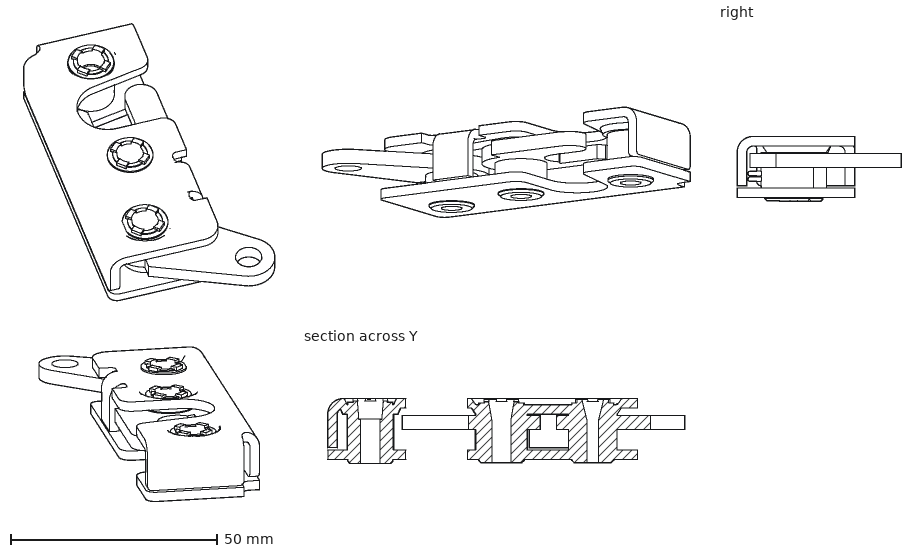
import cadquery as cq
import math

LENGTH = 75.2
DEPTH = 28.6
SHEET = 2.38
PLATE_GAP = 0.48
COVER_TOP = 14.86
COVER_BOTTOM = SHEET + PLATE_GAP
COVER_UNDERSIDE = COVER_TOP - SHEET
BEND_OUTER = 3.9
BEND_INNER = BEND_OUTER - SHEET
CORNER_NOTCH = 2 * SHEET
PLATE_CORNER = SHEET
FRONT_WALL_CORNER = 2.3
LEFT_WALL_CORNER = 1.1
COVER_CORNER = 4.8

MOUTH_X = 26.5
MOUTH_Y = 14.5
MOUTH_RADIUS = 7.42
MOUTH_SLOPE = math.radians(10.8)
MOUTH_LIP = 3.05

TAB_LEFT = 48.9
TAB_RIGHT = 59.05
TAB_RELIEF = 3.2
RELIEF_CORNER = 1.2

LEFT_RIVET = (10.37, 15.35)
ROTOR_RIVET = (42.14, 15.35)
LEVER_RIVET = (64.3, 12.22)
LEFT_BODY_RADIUS = 11.37 / 2
PIVOT_BODY_RADIUS = 12.7 / 2
HEAD_RADIUS = 11.11 / 2
HEAD_THICKNESS = 0.4
LEFT_HEAD_THICKNESS = 0.6
COLLAR_RADIUS = 8.48 / 2
COLLAR_HEIGHT = 0.3
BORE_RADIUS = 4.98 / 2
FUNNEL_RADIUS = 6.63 / 2
FUNNEL_DEPTH = 5.0
LEFT_FUNNEL_END_RADIUS = 2.95
LEFT_FOOT_HEIGHT = 0.98
PIVOT_FOOT_HEIGHT = 0.8
FOOT_CHAMFER = 0.6
PETAL_WIDTH = 2.6
PETAL_END_RADIUS = 4.65
PETAL_HEIGHT = 0.88

DIMPLE_DEPTH = 1.5
DIMPLE_FLOOR = COVER_TOP - DIMPLE_DEPTH
DIMPLE_BOTTOM = COVER_UNDERSIDE - DIMPLE_DEPTH
LEFT_DIMPLE_RADIUS = 6.35
LEFT_BULGE_RADIUS = 7.4
LONG_DIMPLE_RADIUS = 7.3
LONG_DIMPLE_FRONT = 6.2
LONG_DIMPLE_SLOPE = 1.0
DIMPLE_ROUNDING = 0.5

BLADE_BOTTOM = 7.26
BLADE_THICKNESS = 3.5
JAW_X = 22.1
JAW_TOP = 28.47
JAW_BOTTOM = 20.45
SLOT_BOTTOM = 10.5
SLOT_END_X = 29.25
LOWER_JAW_LEFT = 21.8
LOWER_JAW_LEAD = 1.5
ROTOR_HUB_RADIUS = 9.5
LUG = (80.31, 33.53)
LUG_RADIUS = 12.7 / 2
LUG_HOLE_RADIUS = 6.35 / 2
LEVER_HUB_RADIUS = 9.1
LEVER_HEEL = (76.06, 9.45)
LEVER_LEAN = math.radians(50)

WIRE_RADIUS = 1.12 / 2
WIRE_LEVELS = (4.5, 5.85)
WIRE_END_Y = 2.65
WIRE_END_ROUNDING = 0.5
WIRE_OVERLAP = 1.0

MARGIN = 0.1


def block(x0, x1, y0, y1, z0, z1):
    return cq.Workplane("XY").box(x1 - x0, y1 - y0, z1 - z0, centered=False).translate((x0, y0, z0))


def disc(centre, radius, z0, height):
    return cq.Workplane("XY", origin=(*centre, z0)).circle(radius).extrude(height)


def tangent_point(point, centre, radius):
    """Point of the circle touched by the line from `point`, on the right of that line."""
    dx = point[0] - centre[0]
    dy = point[1] - centre[1]
    angle = math.atan2(dy, dx) + math.acos(radius / math.hypot(dx, dy))
    return centre[0] + radius * math.cos(angle), centre[1] + radius * math.sin(angle)


def corner_notch():
    notch = block(-MARGIN, CORNER_NOTCH, -MARGIN, CORNER_NOTCH, -MARGIN, COVER_TOP + MARGIN)
    return notch.edges("|Z").edges(">X and >Y").fillet(CORNER_NOTCH / 2)


def cut_mouth(body):
    """Cut the open mouth through the rear edge and round both of its lips."""
    left_tangent = (
        MOUTH_X - MOUTH_RADIUS * math.cos(MOUTH_SLOPE),
        MOUTH_Y - MOUTH_RADIUS * math.sin(MOUTH_SLOPE),
    )
    right_x = MOUTH_X + MOUTH_RADIUS
    left_lip_x = left_tangent[0] - (DEPTH - left_tangent[1]) * math.tan(MOUTH_SLOPE)
    mouth = (
        cq.Workplane("XY")
        .moveTo(left_lip_x, DEPTH)
        .lineTo(*left_tangent)
        .threePointArc((MOUTH_X, MOUTH_Y - MOUTH_RADIUS), (right_x, MOUTH_Y))
        .lineTo(right_x, DEPTH)
        .close()
        .extrude(COVER_TOP)
    )
    body = body.cut(mouth)
    for lip_x in (left_lip_x, right_x):
        lip = cq.selectors.BoxSelector(
            (lip_x - MARGIN, DEPTH - MARGIN, 0), (lip_x + MARGIN, DEPTH + MARGIN, COVER_TOP)
        )
        body = body.edges("|Z").edges(lip).fillet(MOUTH_LIP)
    return body


def base_plate():
    plate = block(0, LENGTH, 0, DEPTH, 0, SHEET)
    plate = plate.edges("|Z").edges(">X or >Y").fillet(PLATE_CORNER)
    return cut_mouth(plate.cut(corner_notch()))


def folded_sheet():
    """Top panel with the front and left walls bent down from it."""
    outer = block(0, LENGTH, 0, DEPTH, COVER_BOTTOM, COVER_TOP)
    outer = outer.edges(">Z").edges("<X or <Y").fillet(BEND_OUTER)
    inner = block(SHEET, 2 * LENGTH, SHEET, 2 * DEPTH, 0, COVER_UNDERSIDE)
    inner = inner.edges(">Z").edges("<X or <Y").fillet(BEND_INNER)
    sheet = outer.cut(inner).cut(corner_notch())

    low = COVER_BOTTOM - MARGIN
    high = COVER_BOTTOM + MARGIN
    front_wall = cq.selectors.BoxSelector((0, 0, low), (2 * LENGTH, SHEET, high))
    left_wall = cq.selectors.BoxSelector((0, 0, low), (SHEET, 2 * DEPTH, high))
    sheet = sheet.edges("|Y").edges(front_wall).fillet(FRONT_WALL_CORNER)
    sheet = sheet.edges("|X").edges(left_wall).fillet(LEFT_WALL_CORNER)
    return sheet.edges("|Z").edges(">X and >Y").fillet(COVER_CORNER)


def rear_tab():
    """Flange bent down at the rear edge."""
    outer = block(TAB_LEFT, TAB_RIGHT, DEPTH - 2 * BEND_OUTER, DEPTH, COVER_BOTTOM, COVER_TOP)
    outer = outer.edges("|X").edges(">Y and >Z").fillet(BEND_OUTER)
    inner = block(TAB_LEFT, TAB_RIGHT, 0, DEPTH - SHEET, 0, COVER_UNDERSIDE)
    inner = inner.edges("|X").edges(">Y and >Z").fillet(BEND_INNER)
    return outer.cut(inner)


def cut_tab_slots(body):
    """Round-cornered slots that free the tab from the panel on both sides."""
    for x in (TAB_LEFT - TAB_RELIEF, TAB_RIGHT):
        slot = block(x, x + TAB_RELIEF, DEPTH - BEND_OUTER, DEPTH + MARGIN, 0, COVER_TOP)
        body = body.cut(slot.edges("|Z").edges("<Y").fillet(RELIEF_CORNER))
    return body


def left_dimple(radius, z_top):
    """Conical dimple around the left rivet, measured down from z_top."""
    taper = math.degrees(math.atan2(LEFT_DIMPLE_RADIUS - LEFT_BODY_RADIUS, DIMPLE_DEPTH))
    top = cq.Workplane("XY", origin=(*LEFT_RIVET, z_top))
    return top.circle(radius).extrude(-DIMPLE_DEPTH, taper=taper)


def long_dimple(z_top):
    """Sloped dimple around the two pivot rivets, flat along its front side."""
    dx = LEVER_RIVET[0] - ROTOR_RIVET[0]
    dy = LEVER_RIVET[1] - ROTOR_RIVET[1]
    lean = math.atan2(dy, dx)
    r = LONG_DIMPLE_RADIUS

    def on_rim(centre, angle):
        return centre[0] + r * math.cos(angle), centre[1] + r * math.sin(angle)

    up = lean + math.pi / 2
    down = lean - math.pi / 2
    lower_left = on_rim(ROTOR_RIVET, down)
    flat_left = lower_left[0] + (LONG_DIMPLE_FRONT - lower_left[1]) / math.tan(lean)
    flat_angle = math.asin((LONG_DIMPLE_FRONT - LEVER_RIVET[1]) / r)
    taper = math.degrees(math.atan2(LONG_DIMPLE_SLOPE, DIMPLE_DEPTH))
    return (
        cq.Workplane("XY", origin=(0, 0, z_top))
        .moveTo(*lower_left)
        .lineTo(flat_left, LONG_DIMPLE_FRONT)
        .lineTo(*on_rim(LEVER_RIVET, flat_angle))
        .threePointArc(on_rim(LEVER_RIVET, lean), on_rim(LEVER_RIVET, up))
        .lineTo(*on_rim(ROTOR_RIVET, up))
        .threePointArc(on_rim(ROTOR_RIVET, lean + math.pi), lower_left)
        .close()
        .extrude(-DIMPLE_DEPTH, taper=taper)
    )


def cover():
    body = cut_mouth(folded_sheet())
    tab_bay = block(TAB_LEFT, TAB_RIGHT, DEPTH - BEND_OUTER, DEPTH, 0, COVER_TOP)
    body = cut_tab_slots(body.cut(tab_bay).union(rear_tab()))
    body = body.union(left_dimple(LEFT_BULGE_RADIUS, COVER_UNDERSIDE))
    body = body.union(long_dimple(COVER_UNDERSIDE))
    body = body.cut(left_dimple(LEFT_DIMPLE_RADIUS, COVER_TOP)).cut(long_dimple(COVER_TOP))
    return round_dimples(body)


def round_dimples(body):
    """Round the rims of both dimples and the floor edge of the long one."""
    x, y = LEFT_RIVET
    left_rim = cq.selectors.BoxSelector(
        (x - MARGIN, y - MARGIN, COVER_TOP - MARGIN), (x + MARGIN, y + MARGIN, COVER_TOP + MARGIN)
    )
    body = body.edges(left_rim).fillet(DIMPLE_ROUNDING)

    left = ROTOR_RIVET[0] - LONG_DIMPLE_RADIUS
    right = LEVER_RIVET[0] + LONG_DIMPLE_RADIUS
    rear = ROTOR_RIVET[1] + LONG_DIMPLE_RADIUS
    for z in (COVER_TOP, DIMPLE_FLOOR):
        long_edges = cq.selectors.BoxSelector(
            (left, LONG_DIMPLE_FRONT - MARGIN, z - MARGIN), (right, rear, z + MARGIN)
        )
        body = body.edges(long_edges).fillet(DIMPLE_ROUNDING)
    return body


def rivet(centre, body_radius, head_thickness, foot_height):
    """Rivet without its bore: foot, spacer body, head, collar and four diagonal petals."""
    head_top = DIMPLE_FLOOR + head_thickness
    foot = disc(centre, HEAD_RADIUS, -foot_height, foot_height)
    foot = foot.faces("<Z").chamfer(FOOT_CHAMFER)
    body = disc(centre, body_radius, 0, DIMPLE_BOTTOM)
    collar = disc(centre, COLLAR_RADIUS, 0, head_top + COLLAR_HEIGHT)
    head = disc(centre, HEAD_RADIUS, DIMPLE_FLOOR, head_thickness)
    petals = (
        cq.Workplane("XY", origin=(*centre, DIMPLE_FLOOR))
        .transformed(rotate=(0, 0, 45))
        .rect(2 * PETAL_END_RADIUS, PETAL_WIDTH)
        .extrude(head_thickness + PETAL_HEIGHT)
    )
    crossed_petals = petals.rotate((*centre, 0), (*centre, 1), 90)
    return foot.union(body).union(collar).union(head).union(petals).union(crossed_petals)


def rivet_bore(centre, funnel_end_radius, head_thickness, foot_height):
    """Through bore with a conical entry at its upper end."""
    top = DIMPLE_FLOOR + head_thickness + PETAL_HEIGHT
    bore = disc(centre, BORE_RADIUS, -foot_height, foot_height + top)
    funnel = (
        cq.Workplane("XY", origin=(*centre, top))
        .circle(FUNNEL_RADIUS)
        .workplane(offset=-FUNNEL_DEPTH)
        .circle(funnel_end_radius)
        .loft()
    )
    return bore.union(funnel)


def rotor():
    """Catch rotor: hub on the rotor rivet with two jaws around an open slot."""
    jaw_mid = (JAW_TOP + JAW_BOTTOM) / 2
    jaw_radius = (JAW_TOP - JAW_BOTTOM) / 2
    slot_mid = (JAW_BOTTOM + SLOT_BOTTOM) / 2
    slot_radius = (JAW_BOTTOM - SLOT_BOTTOM) / 2
    hub_front = ROTOR_RIVET[1] - ROTOR_HUB_RADIUS
    top = BLADE_BOTTOM + BLADE_THICKNESS
    hub = disc(ROTOR_RIVET, ROTOR_HUB_RADIUS, BLADE_BOTTOM, BLADE_THICKNESS)
    upper_jaw = block(JAW_X, ROTOR_RIVET[0], slot_mid, JAW_TOP, BLADE_BOTTOM, top)
    jaw_end = disc((JAW_X, jaw_mid), jaw_radius, BLADE_BOTTOM, BLADE_THICKNESS)
    lower_jaw = block(LOWER_JAW_LEFT, ROTOR_RIVET[0], hub_front, SLOT_BOTTOM, BLADE_BOTTOM, top)
    lower_jaw = lower_jaw.edges("|Z").edges("<X and >Y").chamfer(LOWER_JAW_LEAD)
    slot = block(LOWER_JAW_LEFT, SLOT_END_X, SLOT_BOTTOM, JAW_BOTTOM, BLADE_BOTTOM, top)
    slot_end = disc((SLOT_END_X, slot_mid), slot_radius, BLADE_BOTTOM, BLADE_THICKNESS)
    body = hub.union(upper_jaw).union(lower_jaw).cut(slot).cut(slot_end)
    return body.union(jaw_end)


def lever():
    """Release lever: hub on the lever rivet, tapering arm and drilled lug."""
    nx = -math.sin(LEVER_LEAN)
    ny = math.cos(LEVER_LEAN)
    left_of_lug = (LUG[0] + LUG_RADIUS * nx, LUG[1] + LUG_RADIUS * ny)
    along_x = math.cos(LEVER_LEAN)
    along_y = math.sin(LEVER_LEAN)
    reach = (left_of_lug[0] - LEVER_RIVET[0]) * along_x + (left_of_lug[1] - LEVER_RIVET[1]) * along_y
    left_of_hub = (left_of_lug[0] - reach * along_x, left_of_lug[1] - reach * along_y)
    arm = (
        cq.Workplane("XY", origin=(0, 0, BLADE_BOTTOM))
        .polyline([
            left_of_hub,
            left_of_lug,
            tangent_point(LEVER_HEEL, LUG, LUG_RADIUS),
            LEVER_HEEL,
            (LEVER_RIVET[0], LEVER_HEEL[1]),
        ])
        .close()
        .extrude(BLADE_THICKNESS)
    )
    hub = disc(LEVER_RIVET, LEVER_HUB_RADIUS, BLADE_BOTTOM, BLADE_THICKNESS)
    lug = disc(LUG, LUG_RADIUS, BLADE_BOTTOM, BLADE_THICKNESS)
    hole = disc(LUG, LUG_HOLE_RADIUS, BLADE_BOTTOM, BLADE_THICKNESS)
    return arm.union(hub).union(lug).cut(hole)


def spring_leg(z):
    """Round-ended spring wire reaching from the lever rivet towards the front wall."""
    length = LEVER_RIVET[1] - PIVOT_BODY_RADIUS + WIRE_OVERLAP - WIRE_END_Y
    start = (LEVER_RIVET[0], WIRE_END_Y, z)
    wire = cq.Workplane("XZ", origin=start).circle(WIRE_RADIUS).extrude(-length)
    return wire.faces("<Y").edges().fillet(WIRE_END_ROUNDING)


def assembly():
    body = base_plate().union(cover()).union(rotor()).union(lever())
    body = body.union(rivet(LEFT_RIVET, LEFT_BODY_RADIUS, LEFT_HEAD_THICKNESS, LEFT_FOOT_HEIGHT))
    for centre in (ROTOR_RIVET, LEVER_RIVET):
        body = body.union(rivet(centre, PIVOT_BODY_RADIUS, HEAD_THICKNESS, PIVOT_FOOT_HEIGHT))
    for z in WIRE_LEVELS:
        body = body.union(spring_leg(z))
    body = body.cut(
        rivet_bore(LEFT_RIVET, LEFT_FUNNEL_END_RADIUS, LEFT_HEAD_THICKNESS, LEFT_FOOT_HEIGHT)
    )
    for centre in (ROTOR_RIVET, LEVER_RIVET):
        body = body.cut(rivet_bore(centre, BORE_RADIUS, HEAD_THICKNESS, PIVOT_FOOT_HEIGHT))
    return body


result = assembly()